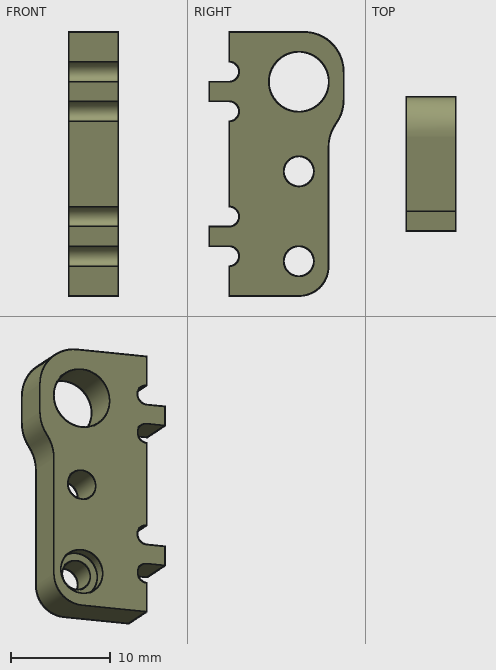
import cadquery as cq
import math

thickness = 5.0
height = 26.5
body_depth = 10.0
bulge = 1.5
top_radius = 4.0
bottom_radius = 3.0
bend_start_z = 19.65

tab_length = 2.0
tab_thickness = 2.0
tab_centers_z = (6.0, 20.5)
groove_radius = tab_thickness / 2
groove_offset = tab_thickness / 2 + groove_radius

hole_y = 7.0
large_hole_z = 21.5
large_hole_diameter = 6.0
small_hole_diameter = 3.0
middle_hole_z = 12.5
lower_hole_z = 3.5
counterbore_diameter = 4.5
counterbore_depth = 1.5


def cylinder_along_x(y, z, diameter, length):
    """Cylinder starting on the X = 0 face and running toward +X."""
    return cq.Workplane("YZ").center(y, z).circle(diameter / 2).extrude(length)


def plate():
    """Side outline with an S-bend joining the bulge to the flat back."""
    back_y = body_depth + bulge
    top_center_y = back_y - top_radius
    bottom_center_y = body_depth - bottom_radius
    diagonal = math.sqrt(0.5)

    bend_angle = math.acos(1 - bulge / (2 * top_radius))
    bend_half_height = top_radius * math.sin(bend_angle)
    half_sag = top_radius * (1 - math.cos(bend_angle / 2))
    half_drop = top_radius * math.sin(bend_angle / 2)
    bend_end_z = bend_start_z - 2 * bend_half_height

    return (
        cq.Workplane("YZ")
        .moveTo(0, 0)
        .lineTo(bottom_center_y, 0)
        .threePointArc(
            (bottom_center_y + bottom_radius * diagonal, bottom_radius * (1 - diagonal)),
            (body_depth, bottom_radius),
        )
        .lineTo(body_depth, bend_end_z)
        .threePointArc(
            (body_depth + half_sag, bend_end_z + half_drop),
            (body_depth + bulge / 2, bend_end_z + bend_half_height),
        )
        .threePointArc(
            (back_y - half_sag, bend_start_z - half_drop),
            (back_y, bend_start_z),
        )
        .lineTo(back_y, height - top_radius)
        .threePointArc(
            (top_center_y + top_radius * diagonal, height - top_radius * (1 - diagonal)),
            (top_center_y, height),
        )
        .lineTo(0, height)
        .close()
        .extrude(thickness)
    )


result = plate()

for tab_z in tab_centers_z:
    for groove_z in (tab_z - groove_offset, tab_z + groove_offset):
        result = result.cut(cylinder_along_x(0, groove_z, 2 * groove_radius, thickness))
    tab = (
        cq.Workplane("YZ")
        .center(0, tab_z)
        .rect(2 * tab_length, tab_thickness)
        .extrude(thickness)
    )
    result = result.union(tab)

for hole_z, hole_diameter in (
    (large_hole_z, large_hole_diameter),
    (middle_hole_z, small_hole_diameter),
    (lower_hole_z, small_hole_diameter),
):
    result = result.cut(cylinder_along_x(hole_y, hole_z, hole_diameter, thickness))

result = result.cut(
    cylinder_along_x(hole_y, lower_hole_z, counterbore_diameter, counterbore_depth)
)